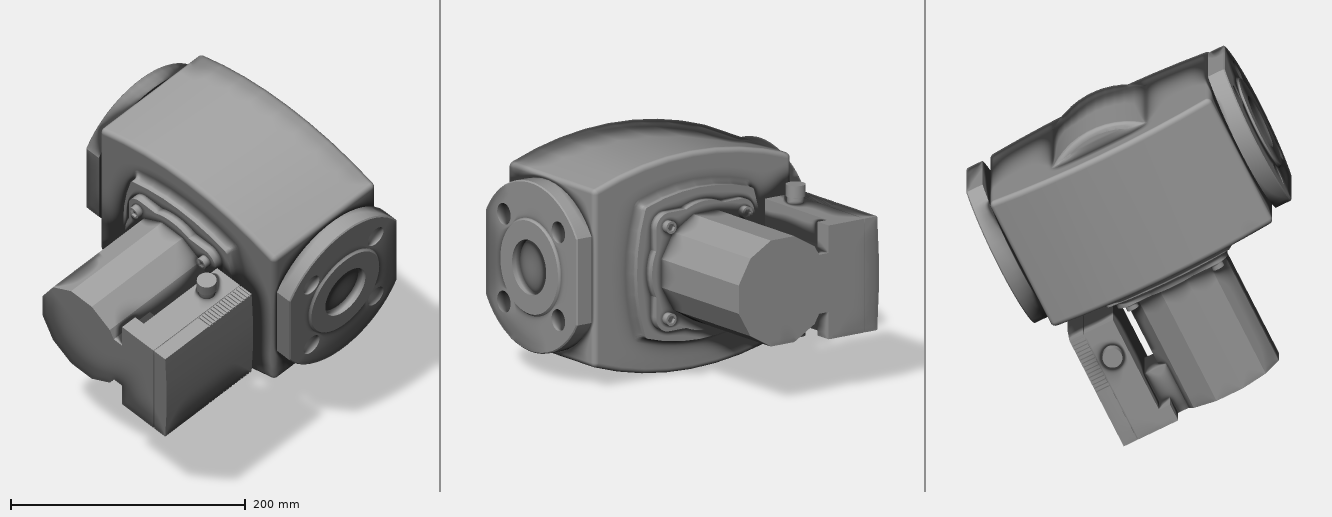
import cadquery as cq
import math


pipe_half_length = 125.0
raised_face_height = 2.0
raised_face_radius = 42.8
raised_face_slope = 1.9
flange_radius = 75.1
flange_thickness = 15.7
flange_half_width = 64.8
flange_chamfer = 1.0
neck_radius = 42.5
bore_radius = 24.2
bore_depth = 8.5
bolt_hole_diameter = 19.0
bolt_circle_radius = 54.7
bolt_hole_count = 4
bolt_start_angle = 45

shell_half_length = 105.1
shell_end_half_height = 77.5
shell_height = 192.5
shell_back = 57.0
shell_front = -66.0
shell_fillet = 4.5

bulge_radius = 72.2
bulge_half_height = 63.5
bulge_edge_fillet = 5.3
bulge_foot_fillet = 5.0

pad_height = 9.5
pad_mid_half_width = 67.0
pad_corner_half_width = 57.4
pad_corner_radius = 4.0
pad_foot_fillet = 5.3

plate_half_width = 52.3
plate_thickness = 8
plate_corner_radius = 13.5
lobe_half_length = 20.2
lobe_reach = 56.8
barrel_sides = 12
barrel_apothem = 46.7
block_half_height = 26.0
block_back = -149.8
motor_end = -193.3

screw_offset = 40.5
screw_head_diameter = 11.0
screw_head_height = 6.0
hex_across_corners = 7.5
hex_depth = 3.2

box_left = 59.5
box_right = 86.8
box_back = -89.0
box_half_height = 50.2
foot_left = 49.0
foot_back = -177.6
gland_x = 72.8
gland_y = -115.0
gland_neck_diameter = 14.5
gland_head_diameter = 17.0
gland_neck_end = 56.3
gland_end = 66.6

joint_width = 1.0
joint_depth = 0.5
cover_edge_x = 101
cover_bulge_x = 102.8
rib_groove_count = 15
rib_groove_pitch = 3.5
rib_groove_width = 1.0
rib_groove_depth = 1.0
first_rib_groove_y = -91.3

joint_tolerance = 0.13

foot_search_margin = 2.7

shell_half_height = shell_height / 2
flange_outer = pipe_half_length - raised_face_height
flange_inner = flange_outer - flange_thickness
pad_front = shell_front - pad_height
plate_front = pad_front - plate_thickness


def facing_front(y):
    """Workplane at the given Y, looking out towards -Y, with local axes X and Z."""
    return cq.Workplane("XZ", origin=(0, y, 0))


def block(x_range, y_range, z_half):
    """Box between two X values and two Y values, symmetric about Z = 0."""
    length = x_range[1] - x_range[0]
    width = y_range[1] - y_range[0]
    corner_box = cq.Workplane("XY").box(length, width, 2 * z_half, centered=(False, False, True))
    return corner_box.translate((x_range[0], y_range[0], 0))


def make_flange():
    """Flange on the +X end with flats, raised face, bolt holes and blind bore."""
    flange = cq.Workplane("YZ", origin=(flange_inner, 0, 0)).circle(flange_radius).extrude(flange_thickness)
    flange = flange.intersect(
        block((flange_inner, flange_outer), (-flange_half_width, flange_half_width), flange_radius)
    )
    flange = flange.faces(">X").edges().chamfer(flange_chamfer)
    slope_angle = math.degrees(math.atan2(raised_face_slope, raised_face_height))
    raised_face = (
        cq.Workplane("YZ", origin=(flange_outer, 0, 0))
        .circle(raised_face_radius)
        .extrude(raised_face_height, taper=slope_angle)
    )
    bolt_holes = (
        cq.Workplane("YZ", origin=(flange_inner, 0, 0))
        .polarArray(bolt_circle_radius, bolt_start_angle, 360, bolt_hole_count)
        .circle(bolt_hole_diameter / 2)
        .extrude(pipe_half_length - flange_inner)
    )
    bore = (
        cq.Workplane("YZ", origin=(pipe_half_length - bore_depth, 0, 0))
        .circle(bore_radius)
        .extrude(bore_depth)
    )
    return flange.union(raised_face).cut(bolt_holes).cut(bore)


def make_neck():
    """Round pipe that joins the two flanges."""
    return cq.Workplane("YZ", origin=(-flange_inner, 0, 0)).circle(neck_radius).extrude(2 * flange_inner)


def make_pump_pipe():
    flange = make_flange()
    return make_neck().union(flange).union(flange.mirror("YZ"))


def make_bulge():
    """Part-cylinder along Z that stands out of the back of the shell."""
    bulge = (
        cq.Workplane("XY", origin=(0, 0, -bulge_half_height))
        .circle(bulge_radius)
        .extrude(2 * bulge_half_height)
        .edges("%CIRCLE")
        .fillet(bulge_edge_fillet)
    )
    back_half = block((-bulge_radius, bulge_radius), (0, bulge_radius), bulge_half_height)
    return bulge.intersect(back_half)


def make_pad():
    """Square pad with four bowed sides."""
    mid = pad_mid_half_width
    corner = pad_corner_half_width
    return (
        facing_front(shell_front)
        .moveTo(-corner, -corner)
        .threePointArc((0, -mid), (corner, -corner))
        .threePointArc((mid, 0), (corner, corner))
        .threePointArc((0, mid), (-corner, corner))
        .threePointArc((-mid, 0), (-corner, -corner))
        .close()
        .extrude(pad_height)
        .edges("|Y")
        .fillet(pad_corner_radius)
    )


def fillet_foot(body, y, half_width, radius):
    """Round the joint edges in the plane at y that lie within half_width of the Y axis."""
    selector = cq.selectors.BoxSelector(
        (-half_width, y - joint_tolerance, -half_width),
        (half_width, y + joint_tolerance, half_width),
    )
    return body.edges(selector).fillet(radius)


def make_shell():
    shell = (
        facing_front(shell_back)
        .moveTo(-shell_half_length, -shell_end_half_height)
        .threePointArc((0, -shell_half_height), (shell_half_length, -shell_end_half_height))
        .lineTo(shell_half_length, shell_end_half_height)
        .threePointArc((0, shell_half_height), (-shell_half_length, shell_end_half_height))
        .close()
        .extrude(shell_back - shell_front)
        .edges()
        .fillet(shell_fillet)
    )
    pad_zone = pad_mid_half_width + foot_search_margin
    shell = fillet_foot(shell.union(make_pad()), shell_front, pad_zone, pad_foot_fillet)
    bulge_zone = bulge_half_height + foot_search_margin
    shell = fillet_foot(shell.union(make_bulge()), shell_back, bulge_zone, bulge_foot_fillet)
    return shell.cut(make_neck())


def make_motor_plate():
    """Square plate with rounded corners and a shallow lobe on each side."""
    plate = (
        facing_front(pad_front)
        .rect(2 * plate_half_width, 2 * plate_half_width)
        .extrude(plate_thickness)
        .edges("|Y")
        .fillet(plate_corner_radius)
    )
    lobe = (
        facing_front(pad_front)
        .moveTo(-lobe_half_length, 0)
        .lineTo(-lobe_half_length, plate_half_width)
        .threePointArc((0, lobe_reach), (lobe_half_length, plate_half_width))
        .lineTo(lobe_half_length, 0)
        .close()
        .extrude(plate_thickness)
    )
    for side in range(4):
        plate = plate.union(lobe.rotate((0, 0, 0), (0, 1, 0), 90 * side))
    return plate


def make_box_body():
    """Terminal box: upright housing with a foot towards the motor."""
    upright = block((box_left, box_right), (motor_end, box_back), box_half_height)
    foot = block((foot_left, box_left), (motor_end, foot_back), box_half_height)
    return upright.union(foot)


def make_motor():
    """Plate, faceted barrel and the block that carries the terminal box."""
    barrel = (
        facing_front(plate_front)
        .polygon(barrel_sides, 2 * barrel_apothem, circumscribed=True)
        .extrude(plate_front - motor_end)
    )
    carrier = block((0, box_left), (motor_end, block_back), block_half_height).cut(make_box_body())
    return make_motor_plate().union(barrel).union(carrier)


def make_screw(x, z):
    """Round screw head with a hexagon socket."""
    seat = facing_front(plate_front).center(x, z)
    head = seat.circle(screw_head_diameter / 2).extrude(screw_head_height)
    return head.faces("<Y").workplane().polygon(6, hex_across_corners).cutBlind(-hex_depth)


def make_gland():
    """Cable gland on the +Z side of the terminal box."""
    base = cq.Workplane("XY", origin=(gland_x, gland_y, box_half_height))
    neck = base.circle(gland_neck_diameter / 2).extrude(gland_neck_end - box_half_height)
    return neck.faces(">Z").workplane().circle(gland_head_diameter / 2).extrude(gland_end - gland_neck_end)


def make_terminal_box():
    gland = make_gland()
    return make_box_body().union(gland).union(gland.mirror("XY"))


def make_rib_grooves():
    """Row of shallow grooves in the +Z side of the cover."""
    bottom = box_half_height - rib_groove_depth
    middle_y = first_rib_groove_y - rib_groove_pitch * (rib_groove_count - 1) / 2
    start_x = box_right + joint_width
    length = cover_bulge_x - start_x
    return (
        cq.Workplane("XY", origin=(start_x + length / 2, middle_y, bottom))
        .rarray(2.7, rib_groove_pitch, 1, rib_groove_count)
        .rect(length, rib_groove_width)
        .extrude(rib_groove_depth)
    )


def make_cover():
    """Cover with a bowed outer side, set off from the box by a narrow joint."""
    inner_x = box_right + joint_width
    joint = block(
        (box_right, inner_x),
        (motor_end + joint_depth, box_back - joint_depth),
        box_half_height - joint_depth,
    )
    lid = (
        facing_front(box_back)
        .moveTo(inner_x, -box_half_height)
        .lineTo(cover_edge_x, -box_half_height)
        .threePointArc((cover_bulge_x, 0), (cover_edge_x, box_half_height))
        .lineTo(inner_x, box_half_height)
        .close()
        .extrude(box_back - motor_end)
    )
    grooves = make_rib_grooves()
    return joint.union(lid).cut(grooves).cut(grooves.mirror("XY"))


pump_pipe = make_pump_pipe()
shell = make_shell()
motor = make_motor()
screws = [
    make_screw(x, z)
    for x in (-screw_offset, screw_offset)
    for z in (-screw_offset, screw_offset)
]
terminal_box = make_terminal_box()
cover = make_cover()

result = cq.Compound.makeCompound([
    pump_pipe.val(),
    shell.val(),
    motor.val(),
    *[screw.val() for screw in screws],
    terminal_box.val(),
    cover.val(),
])